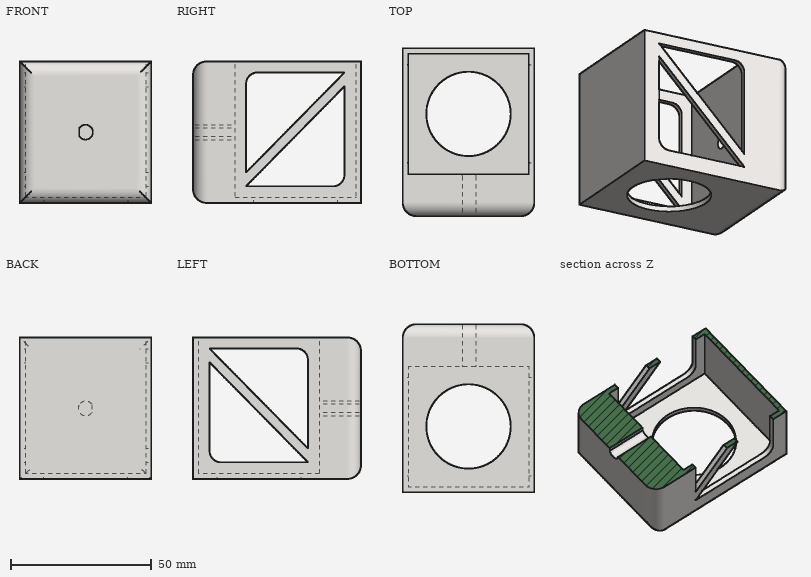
import cadquery as cq

width = 47.0
length = 60.0
height = 50.5
front_round = 5.0

wall = 2.0
floor = 2.0
pocket_side = width - 2 * wall
pocket_back = length - wall
pocket_front = pocket_back - pocket_side
pocket_center_y = (pocket_front + pocket_back) / 2
floor_hole_diameter = 30.0

window_length = 35.0
window_margin = 6.0
window_top_margin = 4.0
window_back = length - window_margin
window_front = window_back - window_length
window_bottom = -height / 2 + window_margin
window_top = height / 2 - window_top_margin
window_radius = 4.0
strut_height = 5.0

shaft_diameter = 5.3
shaft_flat_offset = 2.15


def rounded_block():
    """Box whose four front edges are rounded and meet in mitres."""
    block = cq.Workplane("XY").box(width, length, height).translate((0, length / 2, 0))
    return block.faces("<Y").edges().fillet(front_round)


def pocket():
    """Square cavity running from the floor up to the open top."""
    depth = height - floor
    bottom = -height / 2 + floor
    return (
        cq.Workplane("XY", origin=(0, pocket_center_y, bottom))
        .rect(pocket_side, pocket_side)
        .extrude(depth)
    )


def floor_hole():
    """Round opening through the pocket floor."""
    return (
        cq.Workplane("XY", origin=(0, pocket_center_y, -height / 2))
        .circle(floor_hole_diameter / 2)
        .extrude(floor)
    )


def window_triangle(points, square_corner):
    """Triangular cut through both side walls, rounded at its square corner."""
    corner_y, corner_z = square_corner
    triangle = cq.Workplane("YZ").polyline(points).close().extrude(width / 2, both=True)
    corner_edge = cq.selectors.NearestToPointSelector((0, corner_y, corner_z))
    return triangle.edges("|X").edges(corner_edge).fillet(window_radius)


def shaft_hole():
    """Hole from the front face into the pocket, with its flat on the -X side."""
    round_hole = cq.Workplane("XZ").circle(shaft_diameter / 2).extrude(-pocket_front)
    keep = (
        cq.Workplane("XY")
        .box(shaft_diameter, pocket_front, shaft_diameter, centered=(False, False, True))
        .translate((-shaft_flat_offset, 0, 0))
    )
    return round_hole.intersect(keep)


upper_corner = (window_front, window_top)
upper_window = window_triangle(
    [
        (window_back, window_top),
        upper_corner,
        (window_front, window_bottom + strut_height),
    ],
    upper_corner,
)

lower_corner = (window_back, window_bottom)
lower_window = window_triangle(
    [
        (window_front, window_bottom),
        lower_corner,
        (window_back, window_top - strut_height),
    ],
    lower_corner,
)

result = rounded_block()
for cutter in (pocket(), floor_hole(), upper_window, lower_window, shaft_hole()):
    result = result.cut(cutter)